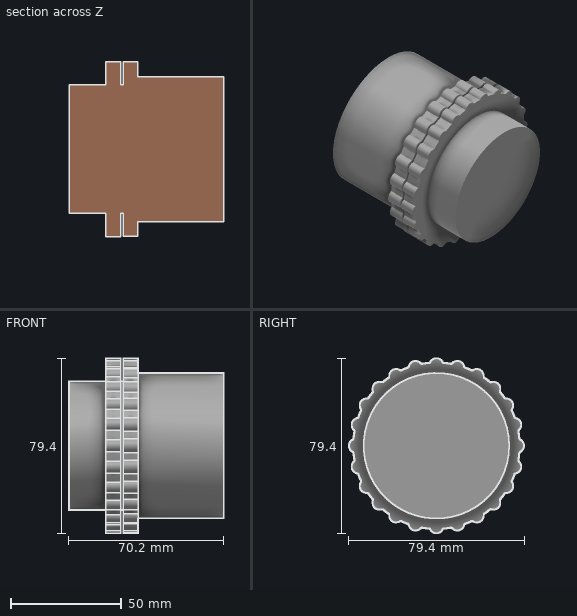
import cadquery as cq

total_length = 70.2
nose_diameter = 58.4
nose_length = 16.7
body_diameter = 65.9

ring_width = 6.8
groove_width = 1.0
lobe_count = 24

front_root_diameter = 75.6
front_tip_diameter = 79.4
front_lobe_radius = 2.9

rear_root_diameter = 75.1
rear_tip_diameter = 79.2
rear_lobe_radius = 3.3

front_ring_start = nose_length
rear_ring_start = front_ring_start + ring_width + groove_width
body_start = rear_ring_start + ring_width


def cylinder(start, length, diameter):
    """Solid cylinder on the X axis."""
    return cq.Workplane("YZ").workplane(offset=start).circle(diameter / 2).extrude(length)


def knurled_ring(start, root_diameter, tip_diameter, lobe_radius):
    """Disc with evenly spaced round lobes that reach the tip diameter."""
    lobes = (
        cq.Workplane("YZ")
        .workplane(offset=start)
        .polarArray(tip_diameter / 2 - lobe_radius, 0, 360, lobe_count)
        .circle(lobe_radius)
        .extrude(ring_width)
    )
    return cylinder(start, ring_width, root_diameter).union(lobes)


nose = cylinder(0, body_start, nose_diameter)
body = cylinder(body_start, total_length - body_start, body_diameter)
front_ring = knurled_ring(front_ring_start, front_root_diameter, front_tip_diameter, front_lobe_radius)
rear_ring = knurled_ring(rear_ring_start, rear_root_diameter, rear_tip_diameter, rear_lobe_radius)

result = nose.union(body).union(front_ring).union(rear_ring)